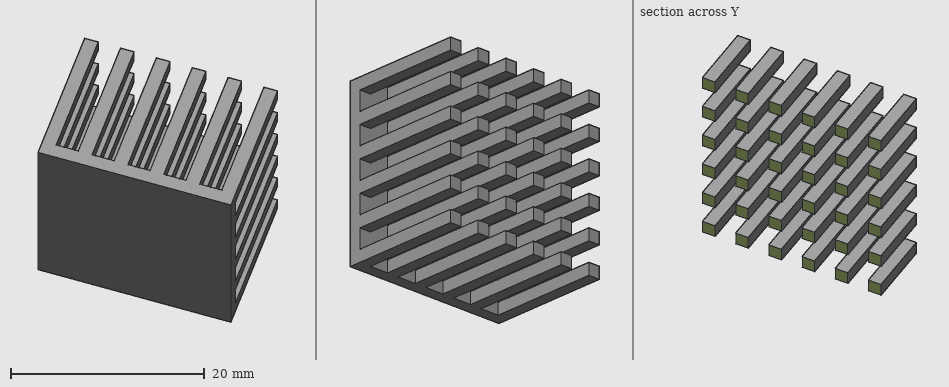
import cadquery as cq

side = 21.0
depth = 15.2
plate_thickness = 1.5
pin_width = 1.5
pins_per_row = 6

pin_length = depth - plate_thickness
pin_pitch = (side - pin_width) / (pins_per_row - 1)


def base_plate():
    """Plate lying in the XZ plane with its plain face at Y = 0."""
    return cq.Workplane("XY").box(side, plate_thickness, side, centered=(True, False, True))


def add_pins(plate):
    """Grow the grid of pins toward +Y from the back face of the plate."""
    return (
        plate.faces(">Y")
        .workplane(centerOption="CenterOfBoundBox")
        .rarray(pin_pitch, pin_pitch, pins_per_row, pins_per_row)
        .rect(pin_width, pin_width)
        .extrude(pin_length)
    )


result = add_pins(base_plate())